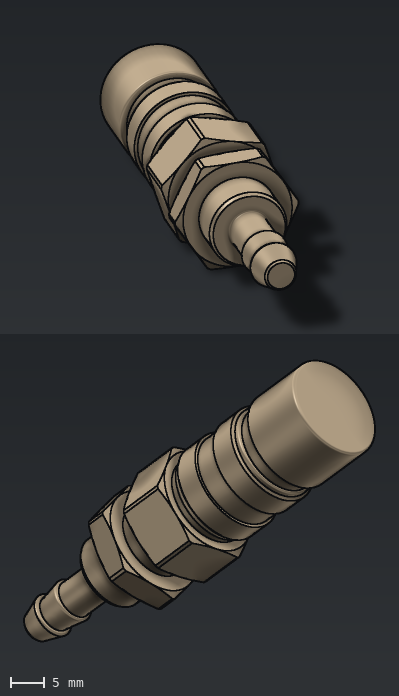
import cadquery as cq
import math

overall_length = 69.0

body_dia = 16.15
cap_end = 10.8
cap_front_fillet = 0.5
cap_rear_fillet = 0.4

waist_dia = 14.0

sleeve_start = 13.25
sleeve_end = 27.95
sleeve_land_dia = 15.1
sleeve_land_length = 0.9
sleeve_land_fillet = 0.4
sleeve_rear_chamfer = 0.15
sleeve_rear_chamfer_length = 0.5
sleeve_step_length = 0.35
groove_start = 18.55
groove_end = 22.7

hex_across_flats = 16.9
hex_corner_dia = 19.2
hex_chamfer_depth = 0.4
body_hex_start = 29.3
body_hex_end = 37.95
body_hex_angle = 12.0
lock_nut_start = 41.75
lock_nut_end = 45.8
lock_nut_angle = -3.5

shank_dia = 12.0
shank_end = 52.0
shank_chamfer_length = 0.6
shank_chamfer_height = 0.4

tail_dia = 6.1
tail_root_fillet = 0.35
barb_dia = 7.2
barb_fillet = 0.4
first_barb_start = 59.95
second_barb_start = 64.5
first_barb_tail_dia = 5.7
nozzle_dia = 4.9
nozzle_chamfer = 0.35


def cylinder(start, end, diameter):
    """Solid cylinder along X between two stations."""
    return cq.Workplane("YZ", origin=(start, 0, 0)).circle(diameter / 2).extrude(end - start)


def cone(start, end, start_dia, end_dia):
    """Solid truncated cone along X between two stations."""
    outline = [(start, 0), (start, start_dia / 2), (end, end_dia / 2), (end, 0)]
    return cq.Workplane("XY").polyline(outline).close().revolve(360, (0, 0, 0), (1, 0, 0))


def make_cap():
    cap = cylinder(0, cap_end, body_dia)
    cap = cap.faces("<X").edges().fillet(cap_front_fillet)
    return cap.faces(">X").edges().fillet(cap_rear_fillet)


def make_sleeve():
    front_band_start = sleeve_start + sleeve_land_length
    rear_band_end = sleeve_end - sleeve_land_length
    core_end = sleeve_end - sleeve_rear_chamfer_length
    core = cylinder(sleeve_start, core_end, sleeve_land_dia)
    core = core.faces("<X").edges().fillet(sleeve_land_fillet)
    rear_taper = cone(core_end, sleeve_end, sleeve_land_dia, sleeve_land_dia - 2 * sleeve_rear_chamfer)

    front_step_end = front_band_start + sleeve_step_length
    rear_step_start = rear_band_end - sleeve_step_length
    front_step = cone(front_band_start, front_step_end, sleeve_land_dia, body_dia)
    front_band = cylinder(front_step_end, groove_start, body_dia)
    rear_band = cylinder(groove_end, rear_step_start, body_dia)
    rear_step = cone(rear_step_start, rear_band_end, body_dia, sleeve_land_dia)
    return core.union(rear_taper).union(front_step).union(front_band).union(rear_band).union(rear_step)


def make_hexagon(start, end, corner_angle):
    """Hexagon with rounded corners and both ends turned down to the flats."""
    prism = (
        cq.Workplane("YZ", origin=(start, 0, 0))
        .polygon(6, hex_across_flats / math.cos(math.radians(30)))
        .extrude(end - start)
        .rotate((0, 0, 0), (1, 0, 0), -corner_angle)
    )
    front_cone = cone(start, start + hex_chamfer_depth, hex_across_flats, hex_corner_dia)
    middle = cylinder(start + hex_chamfer_depth, end - hex_chamfer_depth, hex_corner_dia)
    rear_cone = cone(end - hex_chamfer_depth, end, hex_corner_dia, hex_across_flats)
    return prism.intersect(front_cone.union(middle).union(rear_cone))


def make_shank():
    chamfer_start = shank_end - shank_chamfer_length
    straight = cylinder(body_hex_end, chamfer_start, shank_dia)
    chamfer = cone(chamfer_start, shank_end, shank_dia, shank_dia - 2 * shank_chamfer_height)
    return straight.union(chamfer)


def make_tail():
    """Hose tail with a concave root fillet, and two barbs tapering toward the nozzle end."""
    tail_radius = tail_dia / 2
    arc_offset = tail_root_fillet * (1 - math.sin(math.radians(45)))
    tail = (
        cq.Workplane("XY")
        .moveTo(shank_end, 0)
        .lineTo(shank_end, tail_radius + tail_root_fillet)
        .threePointArc(
            (shank_end + arc_offset, tail_radius + arc_offset),
            (shank_end + tail_root_fillet, tail_radius),
        )
        .lineTo(first_barb_start, tail_radius)
        .lineTo(first_barb_start, 0)
        .close()
        .revolve(360, (0, 0, 0), (1, 0, 0))
    )
    first_barb = make_barb(first_barb_start, second_barb_start, first_barb_tail_dia)
    second_barb = make_barb(second_barb_start, overall_length - nozzle_chamfer, nozzle_dia)
    tip = cone(overall_length - nozzle_chamfer, overall_length, nozzle_dia, nozzle_dia - 2 * nozzle_chamfer)
    return tail.union(first_barb).union(second_barb).union(tip)


def make_barb(start, end, end_dia):
    """Barb with a rounded shoulder at its start, tapering down to its end."""
    barb_radius = barb_dia / 2
    arc_offset = barb_fillet * (1 - math.sin(math.radians(45)))
    return (
        cq.Workplane("XY")
        .moveTo(start, 0)
        .lineTo(start, barb_radius - barb_fillet)
        .threePointArc((start + arc_offset, barb_radius - arc_offset), (start + barb_fillet, barb_radius))
        .lineTo(end, end_dia / 2)
        .lineTo(end, 0)
        .close()
        .revolve(360, (0, 0, 0), (1, 0, 0))
    )


waist = cylinder(cap_end, body_hex_start, waist_dia)
body_hex = make_hexagon(body_hex_start, body_hex_end, body_hex_angle)
lock_nut = make_hexagon(lock_nut_start, lock_nut_end, lock_nut_angle)

result = make_cap()
for section in (waist, make_sleeve(), body_hex, make_shank(), lock_nut, make_tail()):
    result = result.union(section)